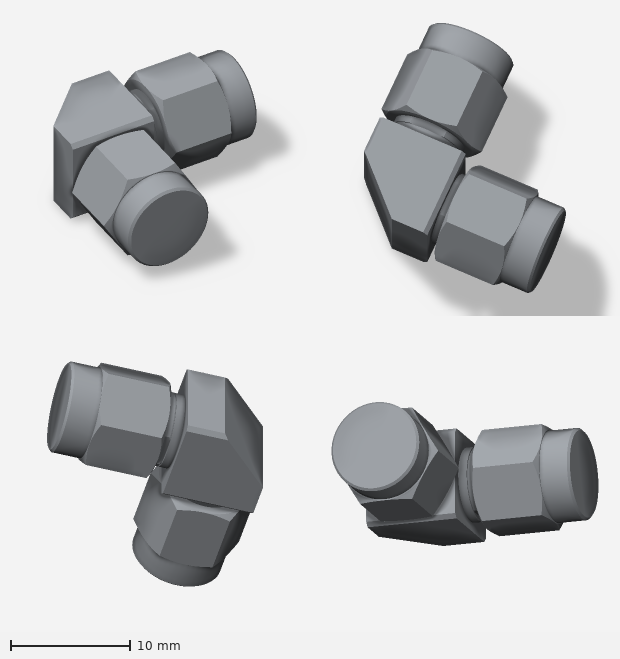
import cadquery as cq
import math


block_size = 7.9
block_half = block_size / 2
outer_corner_cut = 4.64
edge_chamfer = 0.37

neck_radius = 6.35 / 2
neck_flat_half = 2.77
relief_radius = neck_radius - 0.1
relief_length = 0.1
nut_gap = 0.7
insertion_depth = 1.5
y_flange_length = 0.75

across_flats = 8.0
across_corners = across_flats / math.cos(math.radians(30))
hex_length = 6.0
hex_chamfer_angle = 30
sleeve_radius = 3.9
sleeve_length = 2.64
sleeve_chamfer = 0.2

x_arm = (0, block_half)
y_arm = (90, block_half + y_flange_length)


def cylinder_along_x(start, length, radius):
    return cq.Workplane("YZ").workplane(offset=start).circle(radius).extrude(length)


def place_on_arm(shape, angle):
    return shape.rotate((0, 0, 0), (0, 0, 1), angle)


def make_block():
    block = cq.Workplane("XY").box(block_size, block_size, block_size)
    block = block.faces("<X or >X").edges("|Y").chamfer(edge_chamfer)
    corner_wedge = (
        cq.Workplane("XY")
        .workplane(offset=-block_half)
        .moveTo(-block_half, -block_half)
        .lineTo(-block_half + outer_corner_cut, -block_half)
        .lineTo(-block_half, -block_half + outer_corner_cut)
        .close()
        .extrude(block_size)
    )
    return block.cut(corner_wedge)


def make_neck(angle, start):
    """Neck with two flats, a shallow relief at its foot and a round flange back to the block."""
    neck_length = nut_gap + insertion_depth
    relief = cylinder_along_x(start, relief_length, relief_radius)
    shank = cylinder_along_x(start + relief_length, neck_length - relief_length, neck_radius)
    flats = cq.Workplane("XY").box(neck_length, 2 * neck_radius, 2 * neck_flat_half)
    flats = flats.translate((start + neck_length / 2, 0, 0))
    neck = relief.union(shank).intersect(flats)
    neck = neck.union(cylinder_along_x(0, start, neck_radius))
    return place_on_arm(neck, angle)


def make_elbow():
    elbow = make_block()
    for angle, start in (x_arm, y_arm):
        elbow = elbow.union(make_neck(angle, start))
    return elbow


def make_hex():
    """Hexagon with flats facing +Z and -Z, its corners turned down at both ends."""
    corner_radius = across_corners / 2
    flat_radius = across_flats / 2
    chamfer_length = (corner_radius - flat_radius) * math.tan(math.radians(hex_chamfer_angle))
    hexagon = cq.Workplane("YZ").polygon(6, across_corners).extrude(hex_length)
    turned_envelope = (
        cq.Workplane("XY")
        .lineTo(0, flat_radius)
        .lineTo(chamfer_length, corner_radius)
        .lineTo(hex_length - chamfer_length, corner_radius)
        .lineTo(hex_length, flat_radius)
        .lineTo(hex_length, 0)
        .close()
        .revolve(360, (0, 0, 0), (1, 0, 0))
    )
    return hexagon.intersect(turned_envelope)


def make_nut(angle, neck_start):
    """Hex nut with a round front sleeve and a bore in its back that takes the neck."""
    sleeve = cylinder_along_x(hex_length, sleeve_length, sleeve_radius).faces(">X").chamfer(sleeve_chamfer)
    bore = cylinder_along_x(0, insertion_depth, neck_radius)
    nut = make_hex().union(sleeve).cut(bore)
    nut = nut.translate((neck_start + nut_gap, 0, 0))
    return place_on_arm(nut, angle)


elbow = make_elbow()
nuts = [make_nut(angle, start) for angle, start in (x_arm, y_arm)]

result = cq.Compound.makeCompound([elbow.val(), *[nut.val() for nut in nuts]])